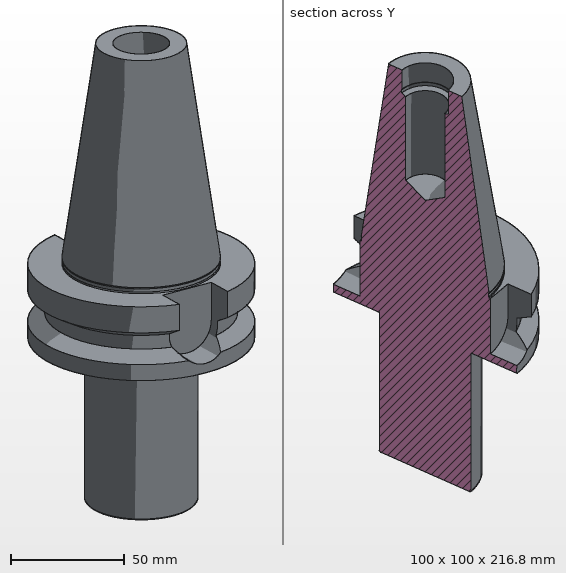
import cadquery as cq
import math

total_height = 216.8
shank_diameter = 50.0
shank_length = 77.0
shank_chamfer = 0.7
flange_height = 35.1
neck_height = 2.8
neck_shoulder_height = 0.7

taper_rate = 7 / 24
taper_large_diameter = 69.8
neck_diameter = 69.4

flange_diameter = 100.0
groove_floor_diameter = 85.0
rim_height = 7.5
groove_floor_width = 6.5
groove_wall_angle = 30.0

key_width = 25.8
key_corner_diameter = 25.4
key_floor_offset = 35.5
key_bottom_height = 4.5

pilot_diameter = 25.0
pilot_depth = 10.8
relief_diameter = 25.4
relief_width = 2.0
core_diameter = 21.0
step_height = 1.0
core_depth = 60.0
drill_point_angle = 118.0

flange_top = shank_length + flange_height
taper_bottom = flange_top + neck_height
taper_small_diameter = taper_large_diameter - taper_rate * (total_height - taper_bottom)


def revolve_profile(points):
    """Revolve a closed (radius, height) outline about the Z axis."""
    return cq.Workplane("XZ").polyline(points).close().revolve(360, (0, 0), (0, 1))


def make_body():
    shank_radius = shank_diameter / 2
    flange_radius = flange_diameter / 2
    floor_radius = groove_floor_diameter / 2
    wall_rise = (flange_radius - floor_radius) * math.tan(math.radians(groove_wall_angle))
    rim_top = shank_length + rim_height
    floor_bottom = rim_top + wall_rise
    floor_top = floor_bottom + groove_floor_width
    return revolve_profile([
        (0, 0),
        (shank_radius - shank_chamfer, 0),
        (shank_radius, shank_chamfer),
        (shank_radius, shank_length),
        (flange_radius, shank_length),
        (flange_radius, rim_top),
        (floor_radius, floor_bottom),
        (floor_radius, floor_top),
        (flange_radius, floor_top + wall_rise),
        (flange_radius, flange_top),
        (taper_large_diameter / 2, flange_top),
        (neck_diameter / 2, flange_top + neck_shoulder_height),
        (neck_diameter / 2, taper_bottom - neck_shoulder_height),
        (taper_large_diameter / 2, taper_bottom),
        (taper_small_diameter / 2, total_height),
        (0, total_height),
    ])


def make_keyway(side):
    """Slot with large bottom corner radii, open upward and outward; side is -1 or +1."""
    half_width = key_width / 2
    corner_radius = key_corner_diameter / 2
    half_flat = half_width - corner_radius
    bottom = shank_length + key_bottom_height
    return (
        cq.Workplane("YZ", origin=(side * key_floor_offset, 0, 0))
        .moveTo(-half_width, flange_top)
        .lineTo(-half_width, bottom + corner_radius)
        .radiusArc((-half_flat, bottom), -corner_radius)
        .lineTo(half_flat, bottom)
        .radiusArc((half_width, bottom + corner_radius), -corner_radius)
        .lineTo(half_width, flange_top)
        .close()
        .extrude(side * flange_diameter / 2)
    )


def make_drawbar_hole():
    pilot_radius = pilot_diameter / 2
    core_radius = core_diameter / 2
    relief_radius = relief_diameter / 2
    pilot_bottom = total_height - pilot_depth
    relief_bottom = pilot_bottom - relief_width
    core_bottom = total_height - core_depth
    point_height = core_radius / math.tan(math.radians(drill_point_angle / 2))
    return revolve_profile([
        (0, total_height),
        (pilot_radius, total_height),
        (pilot_radius, pilot_bottom),
        (relief_radius, pilot_bottom),
        (relief_radius, relief_bottom),
        (core_radius, relief_bottom - step_height),
        (core_radius, core_bottom),
        (0, core_bottom - point_height),
    ])


result = make_body().cut(make_drawbar_hole())
for side in (-1, 1):
    result = result.cut(make_keyway(side))